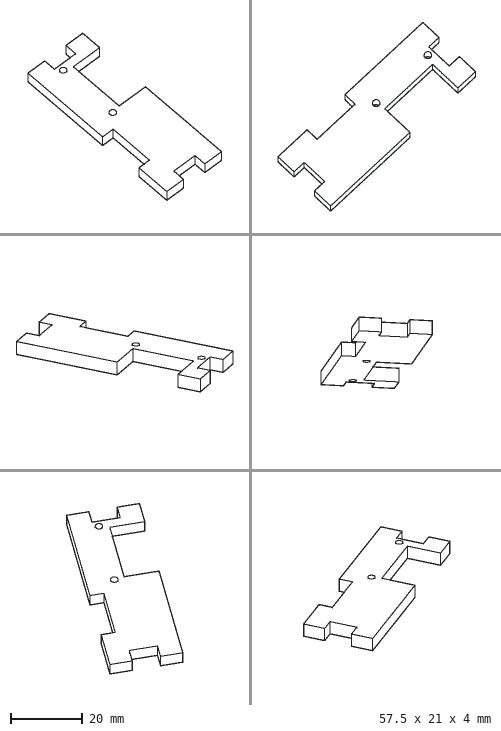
import cadquery as cq

length = 57.5
width = 21.0
thickness = 4.0

end_notch_depth = 4.0
end_notch_width = 8.1

back_cutout_start = 7.0
back_cutout_length = 19.0
back_cutout_depth = 10.05

front_notch_start = 30.95
front_notch_length = 15.0
front_notch_depth = 4.0

hole_diameter = 2.05
first_hole_x = 6.0
hole_spacing = 20.5
hole_y = 8.0


def cutter(x, y, size_x, size_y):
    """Full-thickness block with its lower left corner at (x, y)."""
    return cq.Workplane("XY").box(size_x, size_y, thickness, centered=False).translate((x, y, 0))


plate = cq.Workplane("XY").box(length, width, thickness, centered=False)

end_notch_y = (width - end_notch_width) / 2
for notch_x in (0, length - end_notch_depth):
    plate = plate.cut(cutter(notch_x, end_notch_y, end_notch_depth, end_notch_width))

back_cutout_y = width - back_cutout_depth
plate = plate.cut(cutter(back_cutout_start, back_cutout_y, back_cutout_length, back_cutout_depth))
plate = plate.cut(cutter(front_notch_start, 0, front_notch_length, front_notch_depth))

hole_centres = [(first_hole_x, hole_y), (first_hole_x + hole_spacing, hole_y)]
holes = cq.Workplane("XY").pushPoints(hole_centres).circle(hole_diameter / 2).extrude(thickness)

result = plate.cut(holes)